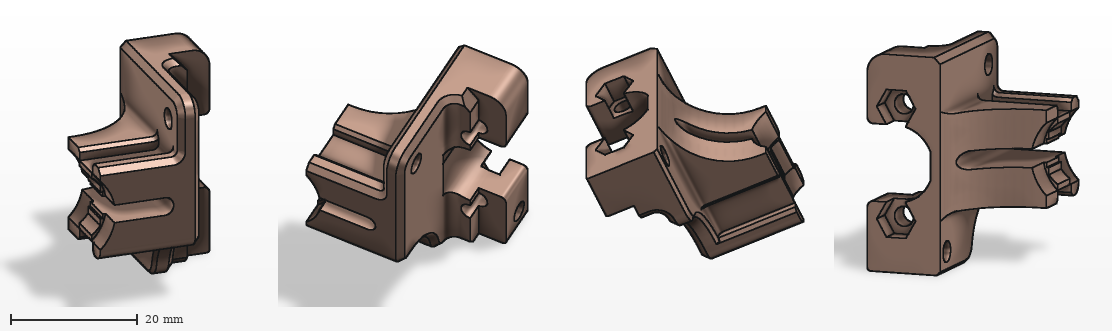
import cadquery as cq
import math


width = 26.6
height = 35.0
mid_z = height / 2

plate_depth = 3.68
block_width = 7.5
block_depth = 12.32
step_right = 10.4
step_depth = 7.45
step_fillet = 2.0
step_bevel_size = 2.0
block_top_radius = 3.0
block_bottom_radius = 0.6
outline_radius = 3.0
edge_chamfer = 1.0
lower_chamfer = 0.6

relief_x = 23.6
relief_radius = 9.0
ridge_corner_radius = 1.85

arm_reach = 13.35
arm_half_height = 7.88
arm_root_x = 0.25
arm_curve_x = -0.2
arm_curve_depth = 12.4
root_fillet = 1.0
arm_embed = 0.7
slot_width = 3.0
slot_floor = 0.98

notch_left = 17.32
notch_right = 23.25
notch_half_height = 5.85
notch_chamfer = 0.63

bowl_radius = 8.05
bowl_half_width = notch_half_height
seat_left = 17.2
seat_right = 22.6
seat_radius = 5.95
seat_axis_reach = 16.73
seat_floor = 11.85
seat_groove_floor = 11.48
seat_groove_width = 4.6

bore_axis_y = 7.42
recess_radius = 6.23
recess_floor = 1.65
recess_mouth_radius = 1.0
cross_hole_diameter = 3.2
cross_hole_offset = 9.03
nut_flats = 5.67
nut_depth = 3.5
plate_hole_diameter = 3.4
plate_holes = [(21.55, 30.25), (3.0, 3.4)]

arm_bottom = mid_z - arm_half_height
arm_top = mid_z + arm_half_height


def box(x_range, y_range, z_range):
    """Axis-aligned box between the given limits."""
    size = [high - low for low, high in (x_range, y_range, z_range)]
    corner = (x_range[0], y_range[0], z_range[0])
    return cq.Workplane("XY").box(*size, centered=False).translate(corner)


def rod(radius, x_range, y, z):
    """Cylinder along X."""
    plane = cq.Workplane("YZ", origin=(x_range[0], y, z))
    return plane.circle(radius).extrude(x_range[1] - x_range[0])


def mirrored(solid):
    """The solid together with its mirror image about the arm's middle height."""
    return solid.union(solid.mirror("XY", (0, 0, mid_z)))


def plan_body():
    """Block, step and plate, as seen from above, over the full height."""
    fillet_mid = step_fillet * (1 - math.sqrt(0.5))
    body = (
        cq.Workplane("XY")
        .polyline([(step_right, plate_depth + step_fillet), (step_right, step_depth),
                   (block_width, step_depth), (block_width, block_depth),
                   (0, block_depth), (0, 0), (width, 0), (width, plate_depth),
                   (step_right + step_fillet, plate_depth)])
        .threePointArc((step_right + fillet_mid, plate_depth + fillet_mid),
                       (step_right, plate_depth + step_fillet))
        .close()
        .extrude(height)
    )
    body = body.edges("|X").edges(">Y").edges(">Z").fillet(block_top_radius)
    return body.edges("|X").edges(">Y").edges("<Z").fillet(block_bottom_radius)


def front_outline():
    """Front outline: rounded top right corner, round relief at the lower right."""
    relief_z = arm_bottom - relief_radius
    centers = relief_radius + outline_radius
    rise = outline_radius - relief_z
    round_x = relief_x - math.sqrt(centers ** 2 - rise ** 2)
    share = outline_radius / centers
    join = (round_x + share * (relief_x - round_x), outline_radius - share * rise)
    round_turn = math.radians(-45)
    relief_turn = math.radians(135)

    def on_circle(x, z, radius, angle):
        return (x + radius * math.cos(angle), z + radius * math.sin(angle))

    return (
        cq.Workplane("XZ")
        .moveTo(0, 0)
        .lineTo(round_x, 0)
        .threePointArc(on_circle(round_x, outline_radius, outline_radius, round_turn), join)
        .threePointArc(on_circle(relief_x, relief_z, relief_radius, relief_turn),
                       (relief_x, arm_bottom))
        .lineTo(width - ridge_corner_radius, arm_bottom)
        .threePointArc(on_circle(width - ridge_corner_radius, arm_bottom + ridge_corner_radius,
                                 ridge_corner_radius, round_turn),
                       (width, arm_bottom + ridge_corner_radius))
        .lineTo(width, height - outline_radius)
        .threePointArc(on_circle(width - outline_radius, height - outline_radius,
                                 outline_radius, math.radians(45)),
                       (width - outline_radius, height))
        .lineTo(0, height)
        .close()
        .extrude(-block_depth)
    )


def step_bevel():
    """45 degree bevel on the top rear edge of the step."""
    return (
        cq.Workplane("YZ", origin=(block_width, 0, 0))
        .polyline([(step_depth, height), (step_depth - step_bevel_size, height),
                   (step_depth, height - step_bevel_size)])
        .close()
        .extrude(step_right - block_width)
    )


def base():
    """Plate and block with the rear chamfer and the lower front chamfer."""
    body = plan_body().intersect(front_outline())
    rear_edge = cq.selectors.NearestToPointSelector((width, plate_depth, mid_z))
    body = body.edges(rear_edge).chamfer(edge_chamfer).cut(step_bevel())
    lower = body.intersect(box((0, width), (0, block_depth), (0, mid_z)))
    upper = body.intersect(box((0, width), (0, block_depth), (mid_z, height)))
    bottom_edge = cq.selectors.NearestToPointSelector((block_width / 2, 0, 0))
    return upper.union(lower.edges(bottom_edge).chamfer(lower_chamfer))


def notched_arm():
    """Arm with concave fillets at the plate and a chamfered notch at its top and bottom."""
    arm = box((arm_root_x, width), (-arm_reach, 0), (arm_bottom, arm_top))
    lower_strip = root_strip(arm_root_x, notch_left, arm_top).mirror("XY", (0, 0, mid_z))
    arm = arm.union(root_strip(arm_root_x, width, arm_top)).union(lower_strip)
    arm = arm.cut(mirrored(notch()))
    for x in (notch_left, notch_right):
        for z in (arm_bottom, arm_top):
            mouth_edge = cq.selectors.NearestToPointSelector((x, -arm_reach / 2, z))
            arm = arm.edges(mouth_edge).chamfer(notch_chamfer)

    embedded = box((notch_right + notch_chamfer, width), (0, arm_embed), (arm_bottom, arm_top))
    arm = arm.union(embedded)
    corner_edge = cq.selectors.NearestToPointSelector((width, -arm_reach / 2, arm_bottom))
    return arm.edges(corner_edge).fillet(ridge_corner_radius)


def root_strip(left, right, z):
    """Concave fillet between the plate and a horizontal arm face at height z."""
    bow = root_fillet * (1 - math.sqrt(0.5))
    return (
        cq.Workplane("YZ", origin=(left, 0, 0))
        .moveTo(0, z)
        .lineTo(-root_fillet, z)
        .threePointArc((-bow, z + bow), (0, z + root_fillet))
        .close()
        .extrude(right - left)
    )


def notch():
    """Notch above the middle of the arm, leaving a concave fillet at the plate."""
    floor = mid_z + notch_half_height
    span = (notch_left, notch_right)
    opening = box(span, (-arm_reach, 0), (floor, arm_top + root_fillet))
    return opening.cut(root_strip(*span, floor))


def arm_curve():
    """Round hollow that sweeps from the plate face out to the arm's tip."""
    radius = math.hypot(arm_root_x - arm_curve_x, arm_curve_depth)
    center = (arm_curve_x, -arm_curve_depth)
    curve = cq.Workplane("XY").center(*center).circle(radius).extrude(height)
    tip = box((arm_curve_x, arm_curve_x + radius), (-arm_reach, -arm_curve_depth), (0, height))
    return curve.union(tip).intersect(box((0, width), (-arm_reach, 0), (0, height)))


def saddle():
    """Cylindrical bowl in the arm's tip, shallower and stepped at the seat."""
    span = (0, width)
    seat_span = (seat_left, seat_right)
    bowl_axis_y = -arm_reach - math.sqrt(bowl_radius ** 2 - bowl_half_width ** 2)
    bowl = rod(bowl_radius, span, bowl_axis_y, mid_z)
    bowl = bowl.cut(box(seat_span, (-2 * arm_reach, 0), (0, height)))
    seat = rod(seat_radius, seat_span, -seat_axis_reach, mid_z)
    seat = seat.intersect(box(seat_span, (-2 * arm_reach, -seat_floor), (0, height)))
    half_groove = seat_groove_width / 2
    groove = box(seat_span, (-arm_reach, -seat_groove_floor),
                 (mid_z - half_groove, mid_z + half_groove))
    return bowl.union(seat).union(groove)


def slot():
    """Round-bottomed slot along X through the middle of the arm."""
    radius = slot_width / 2
    round_y = -slot_floor - radius
    opening = box((0, width), (-arm_reach, round_y), (mid_z - radius, mid_z + radius))
    return opening.union(rod(radius, (0, width), round_y, mid_z))


def recess():
    """Round-ended recess through the block and step, with rounded mouth corners."""
    length = step_right + step_fillet
    low = mid_z - recess_radius
    high = mid_z + recess_radius
    channel = box((0, length), (bore_axis_y, block_depth), (low, high))
    end = rod(recess_radius, (0, length), bore_axis_y, mid_z)
    end = end.intersect(box((0, length), (recess_floor, block_depth), (low, high)))
    corner_y = block_depth - recess_mouth_radius
    corner_z = high + recess_mouth_radius
    corner = box((0, length), (corner_y, block_depth), (high, corner_z))
    corner = corner.cut(rod(recess_mouth_radius, (0, length), corner_y, corner_z))
    return channel.union(end).union(mirrored(corner))


def cross_hole():
    """Hole along X through block and step; a hexagonal nut pocket at its left end opens to the recess."""
    z = mid_z + cross_hole_offset
    hole = rod(cross_hole_diameter / 2, (0, width), bore_axis_y, z)
    nut = (
        cq.Workplane("YZ", origin=(0, bore_axis_y, z))
        .polygon(6, nut_flats / math.cos(math.pi / 6))
        .extrude(nut_depth)
    )
    half_side = nut_flats / math.sqrt(3) / 2
    opening = box((0, nut_depth), (bore_axis_y - half_side, bore_axis_y + half_side), (mid_z, z))
    return hole.union(nut).union(opening)


def plate_hole_cutters():
    """Screw holes along Y."""
    plane = cq.Workplane("XZ").pushPoints(plate_holes)
    return plane.circle(plate_hole_diameter / 2).extrude(-block_depth)


body = base().union(notched_arm())

right_edge = cq.selectors.NearestToPointSelector((width, 0, (arm_top + height) / 2))
body = body.edges(right_edge).chamfer(edge_chamfer)

body = body.cut(arm_curve()).cut(saddle()).cut(slot())
body = body.cut(recess()).cut(mirrored(cross_hole())).cut(plate_hole_cutters())

result = body